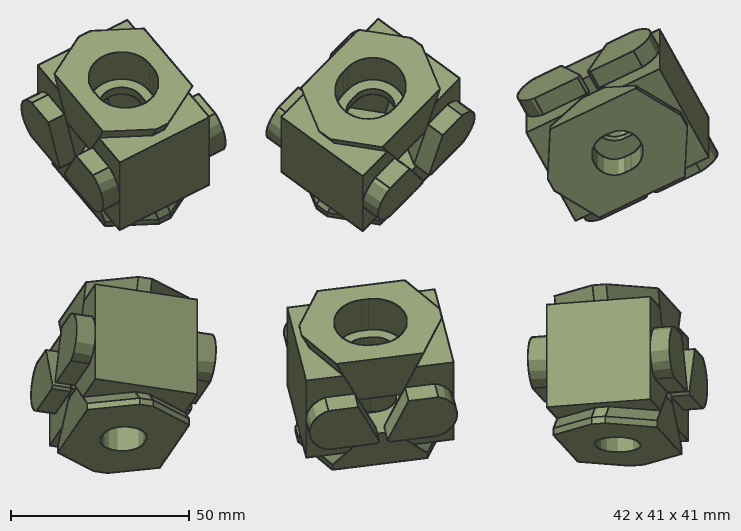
import cadquery as cq
import math

overall_width = 42.0
body_depth = 30.0
overall_height = 41.0

jaw_bottom = 6.0
jaw_height = 30.0
jaw_top = jaw_bottom + jaw_height

lug_overhang = 5.5
lug_height = 15.0
lug_nose_radius = 7.92
lug_depth = body_depth + 2 * lug_overhang
lug_centre_z = jaw_bottom + jaw_height / 2

plan_flat = 4.0
plan_flank_angle = 60.0
plan_flank_run = (body_depth - plan_flat) / 2 / math.tan(math.radians(plan_flank_angle))

upper_wedge_height = 15.0
upper_wedge_bottom = overall_height - upper_wedge_height
upper_top_half_width = 19.94
upper_taper = math.tan(math.radians(22.9))

lower_wedge_height = 12.0
lower_rim_height = 2.0
lower_base_half_width = overall_width / 2
lower_taper = math.tan(math.radians(45.0))

slot_stretch = 2.0
screw_slot_width = 12.5
head_slot_width = 18.5
head_slot_depth = 12.0


def upper_half_width(z):
    """Greatest half width of the upper wedge at height z."""
    return upper_top_half_width - (overall_height - z) * upper_taper


def lower_half_width(z):
    """Greatest half width of the lower wedge at height z, above its rim."""
    return lower_base_half_width - (z - lower_rim_height) * lower_taper


ridge_z = (
    lower_base_half_width + lower_rim_height * lower_taper
    - upper_top_half_width + overall_height * upper_taper
) / (upper_taper + lower_taper)


def octagon_points(half_width):
    end_half_width = half_width - plan_flank_run
    half_depth = body_depth / 2
    half_flat = plan_flat / 2
    return [
        (end_half_width, -half_depth),
        (half_width, -half_flat),
        (half_width, half_flat),
        (end_half_width, half_depth),
        (-end_half_width, half_depth),
        (-half_width, half_flat),
        (-half_width, -half_flat),
        (-end_half_width, -half_depth),
    ]


def octagon_taper(bottom_z, bottom_half_width, top_z, top_half_width):
    """Solid between two octagons, with every flank leaning equally along X."""
    return (
        cq.Workplane("XY", origin=(0, 0, bottom_z))
        .polyline(octagon_points(bottom_half_width)).close()
        .workplane(offset=top_z - bottom_z)
        .polyline(octagon_points(top_half_width)).close()
        .loft(ruled=True)
    )


def slot_cutter(width, bottom_z, top_z):
    return (
        cq.Workplane("XY", origin=(0, 0, bottom_z))
        .slot2D(width + slot_stretch, width)
        .extrude(top_z - bottom_z)
    )


def make_upper_wedge():
    wedge = octagon_taper(
        upper_wedge_bottom, upper_half_width(upper_wedge_bottom),
        overall_height, upper_top_half_width,
    )
    screw_slot = slot_cutter(screw_slot_width, upper_wedge_bottom, overall_height)
    head_slot = slot_cutter(head_slot_width, overall_height - head_slot_depth, overall_height)
    return wedge.cut(screw_slot).cut(head_slot)


def make_lower_wedge():
    rim = (
        cq.Workplane("XY")
        .polyline(octagon_points(lower_base_half_width)).close()
        .extrude(lower_rim_height)
    )
    taper = octagon_taper(
        lower_rim_height, lower_base_half_width,
        lower_wedge_height, lower_half_width(lower_wedge_height),
    )
    screw_slot = slot_cutter(screw_slot_width, 0, lower_wedge_height)
    return rim.union(taper).cut(screw_slot)


def make_lug():
    """Lug of the +X jaw, running from the mid plane out to its rounded nose."""
    outer_x = overall_width / 2
    half_height = lug_height / 2
    nose_length = lug_nose_radius - math.sqrt(lug_nose_radius**2 - half_height**2)
    nose_start_x = outer_x - nose_length
    return (
        cq.Workplane("XZ", origin=(0, lug_depth / 2, lug_centre_z))
        .moveTo(0, -half_height)
        .lineTo(nose_start_x, -half_height)
        .threePointArc((outer_x, 0), (nose_start_x, half_height))
        .lineTo(0, half_height)
        .close()
        .extrude(lug_depth)
    )


def make_flank_cutter():
    """Hourglass prism that gives the jaw and lug ends their sloping inner faces."""
    top_half = upper_half_width(overall_height) - plan_flank_run
    ridge_half = upper_half_width(ridge_z) - plan_flank_run
    base_half = lower_half_width(lower_rim_height) - plan_flank_run
    return (
        cq.Workplane("XZ", origin=(0, lug_depth / 2, 0))
        .polyline([
            (-base_half, lower_rim_height),
            (base_half, lower_rim_height),
            (ridge_half, ridge_z),
            (top_half, overall_height),
            (-top_half, overall_height),
            (-ridge_half, ridge_z),
        ])
        .close()
        .extrude(lug_depth)
    )


def make_jaw():
    """The +X jaw, with V grooves that seat both wedges."""
    block = (
        cq.Workplane("XY", origin=(0, -body_depth / 2, jaw_bottom))
        .rect(overall_width / 2, body_depth, centered=False)
        .extrude(jaw_height)
    )
    upper_groove = octagon_taper(
        ridge_z, upper_half_width(ridge_z), jaw_top, upper_half_width(jaw_top)
    )
    lower_groove = octagon_taper(
        jaw_bottom, lower_half_width(jaw_bottom), ridge_z, lower_half_width(ridge_z)
    )
    jaw = block.union(make_lug())
    return jaw.cut(make_flank_cutter()).cut(upper_groove).cut(lower_groove)


upper_wedge = make_upper_wedge()
lower_wedge = make_lower_wedge()
jaws = [make_jaw().rotate((0, 0, 0), (0, 0, 1), turn) for turn in (0, 180)]

result = cq.Compound.makeCompound([
    upper_wedge.solids().val(),
    lower_wedge.solids().val(),
    *[jaw.solids().val() for jaw in jaws],
])